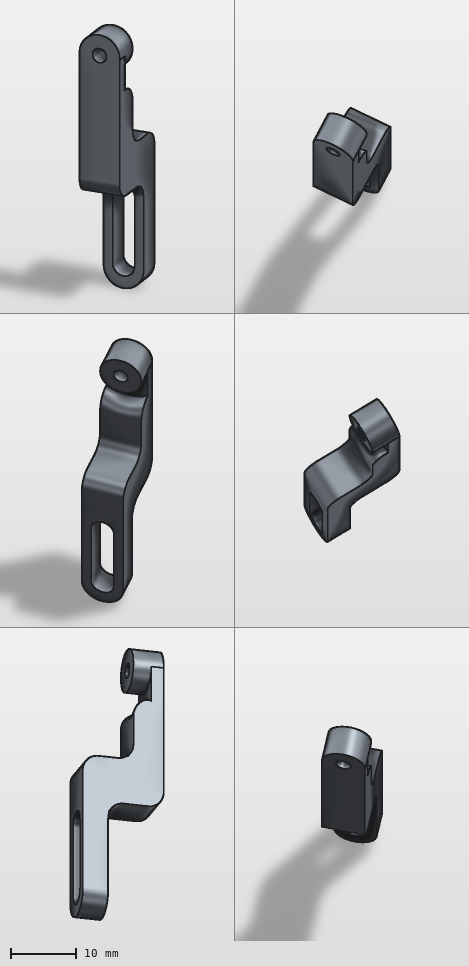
import cadquery as cq

width = 6.7
depth = 12.8
height = 44.05
end_radius = width / 2

web_thickness = 2.0
arm_thickness = 4.8
pivot_hole_diameter = 2.3
pivot_z = height - end_radius
web_top_drop = 0.2
web_top_z = pivot_z - web_top_drop
clearance_radius = 6.6

block_top_z = 25.05
block_bottom_z = 17.75
bend_diameter = 5.0
bend_radius = bend_diameter / 2

plate_thickness = 4.0
plate_front_y = depth - plate_thickness
slot_width = 3.65
slot_bottom_z = 2.0
slot_top_z = 16.95


def round_corner(profile, corner, start_direction, end_direction, radius):
    """Draw to an axis-aligned corner and round it with a quarter arc."""
    y, z = corner
    start = (y - radius * start_direction[0], z - radius * start_direction[1])
    end = (y + radius * end_direction[0], z + radius * end_direction[1])
    return profile.lineTo(*start).tangentArcPoint(end, relative=False)


def stepped_body():
    """Side profile of the two offset arms, extruded across the width."""
    up, down, back, front = (0, 1), (0, -1), (1, 0), (-1, 0)
    profile = cq.Workplane("YZ").moveTo(0, web_top_z).lineTo(arm_thickness, web_top_z)
    profile = round_corner(profile, (arm_thickness, block_top_z), down, back, bend_radius)
    profile = round_corner(profile, (depth, block_top_z), back, down, bend_radius)
    profile = profile.lineTo(depth, 0).lineTo(plate_front_y, 0)
    profile = round_corner(profile, (plate_front_y, block_bottom_z), up, front, bend_radius)
    profile = round_corner(profile, (0, block_bottom_z), front, up, bend_radius)
    return profile.close().extrude(end_radius, both=True)


def rounded_outline():
    """Full-depth envelope with a semicircular bottom end, up to the web top."""
    return (
        cq.Workplane("XZ")
        .moveTo(-end_radius, web_top_z)
        .lineTo(-end_radius, end_radius)
        .threePointArc((0, 0), (end_radius, end_radius))
        .lineTo(end_radius, web_top_z)
        .close()
        .extrude(-depth)
    )


def boss_clearance():
    """Round pocket about the pivot axis whose rim flares out as a fillet on the arm's back."""
    flare_radius = clearance_radius + bend_radius
    flare_start_y = arm_thickness - bend_radius
    return (
        cq.Workplane("XY", origin=(0, 0, pivot_z))
        .moveTo(0, web_thickness)
        .lineTo(clearance_radius, web_thickness)
        .lineTo(clearance_radius, flare_start_y)
        .tangentArcPoint((flare_radius, arm_thickness), relative=False)
        .lineTo(0, arm_thickness)
        .close()
        .revolve(360, (0, 0), (0, 1))
    )


def pivot_boss():
    return cq.Workplane("XZ").center(0, pivot_z).circle(end_radius).extrude(-arm_thickness)


def pivot_hole():
    return cq.Workplane("XZ").center(0, pivot_z).circle(pivot_hole_diameter / 2).extrude(-depth)


def plate_slot():
    slot_length = slot_top_z - slot_bottom_z
    return (
        cq.Workplane("XZ")
        .center(0, (slot_bottom_z + slot_top_z) / 2)
        .slot2D(slot_length, slot_width, 90)
        .extrude(-depth)
    )


body = stepped_body().intersect(rounded_outline()).cut(boss_clearance()).union(pivot_boss())
result = body.cut(pivot_hole()).cut(plate_slot())